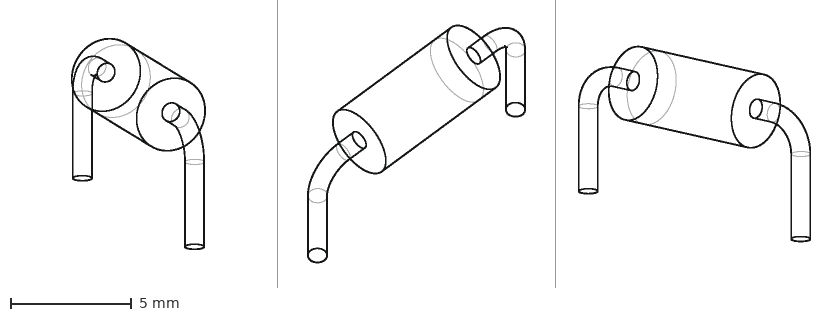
import cadquery as cq

body_diameter = 3.1
body_length = 6.7
band_width = 1.0

wire_diameter = 0.8
overall_length = 12.4
overall_height = 6.6
bend_radius = 1.5
wire_above_body_axis = 0.1

body_radius = body_diameter / 2
body_end_x = body_length / 2
lead_x = (overall_length - wire_diameter) / 2
bend_start_x = lead_x - bend_radius
wire_z = wire_above_body_axis
bend_end_z = wire_z - bend_radius
lead_bottom_z = body_radius - overall_height


def make_body():
    """Band plus barrel of equal diameter, unioned without cleaning so their shared edge stays."""
    barrel_length = body_length - band_width
    band = cq.Workplane("YZ", origin=(-body_end_x, 0, 0)).circle(body_radius).extrude(band_width)
    barrel = (
        cq.Workplane("YZ", origin=(band_width - body_end_x, 0, 0))
        .circle(body_radius)
        .extrude(barrel_length)
    )
    return band.union(barrel, clean=False)


def make_lead(side):
    """Bent wire on the +X (side = 1) or -X (side = -1) end of the body."""
    path = (
        cq.Workplane("XZ")
        .moveTo(side * body_end_x, wire_z)
        .lineTo(side * bend_start_x, wire_z)
        .tangentArcPoint((side * lead_x, bend_end_z), relative=False)
        .lineTo(side * lead_x, lead_bottom_z)
    )
    start = cq.Workplane("YZ", origin=(side * body_end_x, 0, wire_z))
    return start.circle(wire_diameter / 2).sweep(path)


result = make_body()
for side in (-1, 1):
    result = result.union(make_lead(side), clean=False)